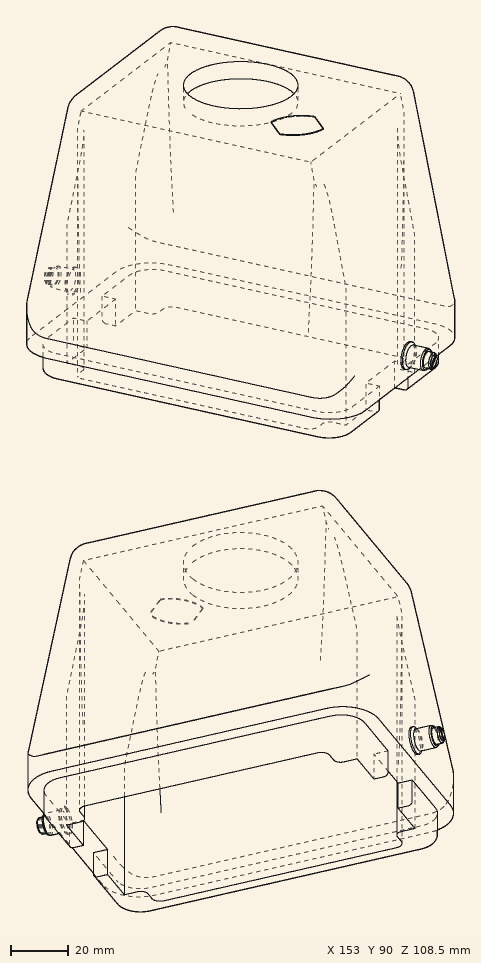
import cadquery as cq
import math

overall_length = 153.0
overall_height = 108.5
emblem_height = 0.3
roof_z = overall_height - emblem_height

collar_length = 132.2
collar_width = 90.0
collar_corner_radius = 13.8
collar_bottom_z = 10.3
collar_end_top_z = 25.7
cove_radius = 9.0
cove_bottom_z = 17.0

hood_base_width = 79.7
end_taper = 11.3
side_taper = 1.2
hood_edge_radius = 7.2

skirt_length = 121.2
skirt_width = 79.5
skirt_corner_radius = 9.0
skirt_bottom_radius = 1.5
notch_width = 21.1

wall = 5.4
roof_thickness = 6.6
entry_hole_diameter = 40.0
post_inner_x = 47.5
post_inner_y = 25.2
post_edge_radius = 2.6
post_root_radius = 3.2

pin_z = 19.0
pin_flange_diameter = 10.0
pin_body_diameter = 8.0
pin_shoulder_diameter = 7.3
pin_tip_diameter = 6.0
pin_end_diameter = 4.9
pin_flange_thickness = 0.6
pin_flare_length = 0.8
pin_tip_length = 2.6
pin_end_chamfer = (pin_tip_diameter - pin_end_diameter) / 2
pin_shoulder_chamfer = 0.6
pin_slot_width = 0.8
pin_slot_depth = 0.6
pin_slot_angle = 45.0

emblem_x = 33.7
emblem_y = -21.0
emblem_length = 15.9
emblem_flat = 10.5
emblem_bulge_width = 15.9
emblem_angle = 45.0


def rounded_block(length, width, radius, bottom_z, top_z):
    """Upright block with rounded vertical edges."""
    block = cq.Workplane("XY", origin=(0, 0, bottom_z)).rect(length, width)
    return block.extrude(top_z - bottom_z).edges("|Z").fillet(radius)


def tapered_core(top_z):
    """Tapered block whose sloping faces lie one wall thickness inside the faces of the hood."""
    end_angle = math.radians(end_taper)
    side_angle = math.radians(side_taper)

    def section_size(z):
        rise = z - collar_end_top_z
        end_shift = rise * math.tan(end_angle) + wall / math.cos(end_angle)
        side_shift = rise * math.tan(side_angle) + wall / math.cos(side_angle)
        return collar_length - 2 * end_shift, hood_base_width - 2 * side_shift

    base = cq.Workplane("XY").rect(*section_size(0))
    return base.workplane(offset=top_z).rect(*section_size(top_z)).loft(ruled=True)


def make_hood():
    """Tapered hood whose long sides run out through a cove onto the rounded collar."""
    side_angle = math.radians(side_taper)
    end_slope = math.tan(math.radians(end_taper))
    cove_center_z = cove_bottom_z + cove_radius

    def side_y(z):
        return hood_base_width / 2 - (z - collar_end_top_z) * math.tan(side_angle)

    cove_center_y = side_y(cove_center_z) + cove_radius / math.cos(side_angle)
    cove_top_y = cove_center_y - cove_radius * math.cos(side_angle)
    cove_top_z = cove_center_z - cove_radius * math.sin(side_angle)
    middle_angle = (math.pi / 2 + side_angle) / 2
    cove_middle = (
        cove_center_y - cove_radius * math.sin(middle_angle),
        cove_center_z - cove_radius * math.cos(middle_angle),
    )
    ledge_y = collar_width / 2 + 2 * cove_radius
    half_section = (
        cq.Workplane("YZ", origin=(-overall_length / 2, 0, 0))
        .moveTo(0, roof_z)
        .lineTo(side_y(roof_z), roof_z)
        .lineTo(cove_top_y, cove_top_z)
        .threePointArc(cove_middle, (cove_center_y, cove_bottom_z))
        .lineTo(ledge_y, cove_bottom_z)
        .lineTo(ledge_y, collar_bottom_z)
        .lineTo(0, collar_bottom_z)
        .close()
        .extrude(overall_length)
    )
    body = half_section.union(half_section.mirror("XZ"))

    roof_x = collar_length / 2 - (roof_z - collar_end_top_z) * end_slope
    base_x = collar_length / 2 + (collar_end_top_z - collar_bottom_z) * end_slope
    end_outline = [(-base_x, collar_bottom_z), (base_x, collar_bottom_z), (roof_x, roof_z), (-roof_x, roof_z)]
    body = body.intersect(cq.Workplane("XZ").polyline(end_outline).close().extrude(ledge_y, both=True))

    middle_x = (roof_x + base_x) / 2
    middle_z = (roof_z + collar_bottom_z) / 2

    for x_side in (-1, 1):
        for y_side in (-1, 1):
            corner = (x_side * middle_x, y_side * hood_base_width / 2, middle_z)
            body = body.edges(cq.selectors.NearestToPointSelector(corner)).fillet(hood_edge_radius)
    body = body.faces(">Z").edges().fillet(hood_edge_radius)
    outline = rounded_block(collar_length, collar_width, collar_corner_radius, collar_bottom_z, roof_z)
    return body.intersect(outline)


def make_skirt():
    """Plug-in skirt below the collar, with a rounded lower rim."""
    skirt = rounded_block(skirt_length, skirt_width, skirt_corner_radius, 0, collar_bottom_z)
    return skirt.faces("<Z").edges().fillet(skirt_bottom_radius)


def make_cavity():
    """Straight-walled opening that follows the hood taper higher up, with a post in each corner."""
    ceiling_z = roof_z - roof_thickness
    half_length = skirt_length / 2 - wall
    half_width = skirt_width / 2 - wall
    post_length = half_length - post_inner_x
    post_width = half_width - post_inner_y
    straight = cq.Workplane("XY").rect(2 * half_length, 2 * half_width).extrude(ceiling_z)
    for x_side in (-1, 1):
        for y_side in (-1, 1):
            post = cq.Workplane("XY").center(
                x_side * (post_inner_x + post_length / 2), y_side * (post_inner_y + post_width / 2)
            )
            straight = straight.cut(post.rect(post_length, post_width).extrude(ceiling_z))
            for y, radius in ((post_inner_y, post_edge_radius), (half_width, post_root_radius)):
                corner = (x_side * post_inner_x, y_side * y, ceiling_z / 2)
                straight = straight.edges(cq.selectors.NearestToPointSelector(corner)).fillet(radius)
    return straight.intersect(tapered_core(ceiling_z))


def make_pin():
    """Stepped pin on the -X end, with a slotted tip."""
    root_x = -collar_length / 2
    flange_x = root_x - pin_flange_thickness
    body_x = flange_x - pin_flare_length
    tip_x = -overall_length / 2
    shoulder_x = tip_x + pin_tip_length
    profile = [
        (root_x + wall / 2, 0),
        (root_x + wall / 2, pin_flange_diameter / 2),
        (flange_x, pin_flange_diameter / 2),
        (body_x, pin_body_diameter / 2),
        (shoulder_x + pin_shoulder_chamfer, pin_body_diameter / 2),
        (shoulder_x, pin_shoulder_diameter / 2),
        (shoulder_x, pin_tip_diameter / 2),
        (tip_x + pin_end_chamfer, pin_tip_diameter / 2),
        (tip_x, pin_end_diameter / 2),
        (tip_x, 0),
    ]
    pin = cq.Workplane("XY").polyline(profile).close().revolve(360, (0, 0), (1, 0))
    slot = cq.Workplane("XY").box(2 * pin_slot_depth, pin_body_diameter, pin_slot_width)
    slot = slot.rotate((0, 0, 0), (1, 0, 0), pin_slot_angle).translate((tip_x, 0, 0))
    return pin.cut(slot).translate((0, 0, pin_z))


def make_emblem_pad():
    """Thin pad with two flats joined by two bulging arcs."""
    half_length = emblem_length / 2
    half_flat = emblem_flat / 2
    half_bulge = emblem_bulge_width / 2
    pad = (
        cq.Workplane("XY")
        .moveTo(-half_length, half_flat)
        .threePointArc((0, half_bulge), (half_length, half_flat))
        .lineTo(half_length, -half_flat)
        .threePointArc((0, -half_bulge), (-half_length, -half_flat))
        .close()
        .extrude(emblem_height)
    )
    return pad.rotate((0, 0, 0), (0, 0, 1), emblem_angle).translate((emblem_x, emblem_y, roof_z))


pin = make_pin()
entry_hole = cq.Workplane("XY").circle(entry_hole_diameter / 2).extrude(overall_height)
notch = cq.Workplane("XY").box(overall_length, notch_width, 2 * collar_bottom_z)

result = make_hood().union(make_skirt())
result = result.cut(make_cavity()).cut(entry_hole).cut(notch)
result = result.union(pin).union(pin.mirror("YZ")).union(make_emblem_pad())